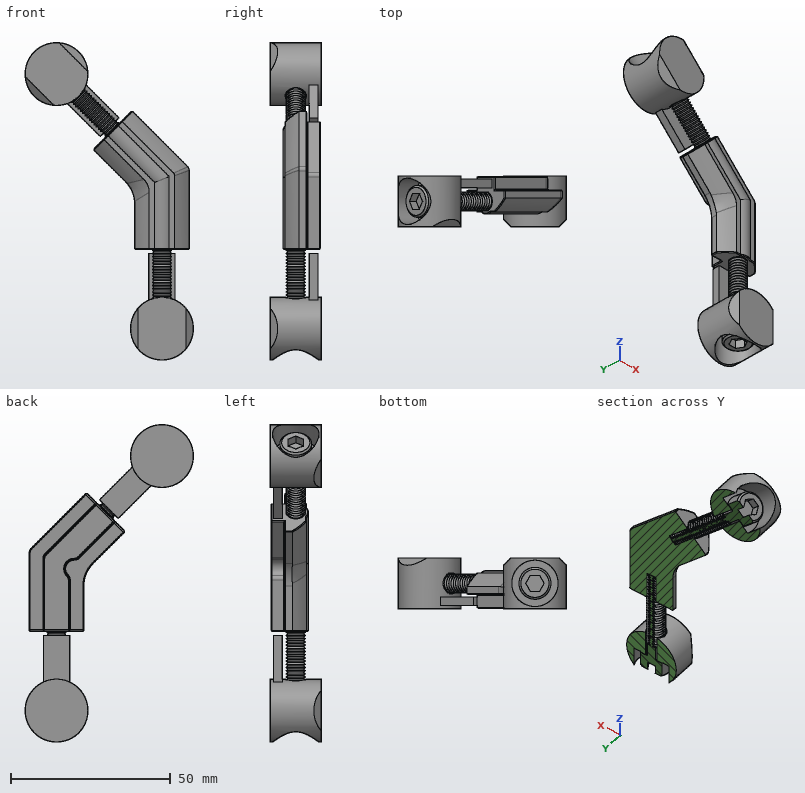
import cadquery as cq
import math

bend_angle = 45.0
arm_angles = (0.0, 180.0 - bend_angle)
barrel_distance = 46.65

arm_length = 21.85
flange_half_width = 8.55
flange_back = 3.5
flange_front = 1.0
front_face = -3.3
front_half_width = 4.0
key_half_width = 4.0
key_back = 7.8
ridge_radius = 4.0
inner_bend_radius = 10.0
outer_bend_radius = 2.0
slope_radius = 20.0
relief_radius = 3.0
relief_side = 5.54
relief_edge_radius = 2.0
edge_break = 0.3
level_tolerance = 0.01

thread_diameter = 6.0
thread_root_diameter = 5.0
thread_pitch = 1.0
screw_length = 35.0
plain_length = 5.0
head_diameter = 10.0
head_height = 6.0
head_edge_break = 0.6
socket_across_flats = 5.0
socket_depth = 3.0

barrel_diameter = 19.7
barrel_length = 16.0
counterbore_diameter = 14.5
clearance_diameter = 6.6
flat_half_width = 7.5
tab_back = 7.0
tab_front = 4.2
tab_half_width = 4.15
tab_gap = 1.3


def make_elbow():
    """Elbow swept along both arms: a flange with sloped sides, a key behind it, a ridge in front."""
    half_bend = math.radians(bend_angle / 2)
    upper_end = (
        -arm_length * math.sin(math.radians(bend_angle)),
        arm_length * math.cos(math.radians(bend_angle)),
    )
    path = cq.Workplane("XZ").moveTo(0, -arm_length).lineTo(0, 0).lineTo(*upper_end)

    ridge_half_width = math.sqrt(ridge_radius**2 - front_face**2)
    section = (
        cq.Workplane("XY", origin=(0, 0, -arm_length))
        .moveTo(-ridge_half_width, front_face)
        .threePointArc((0, -ridge_radius), (ridge_half_width, front_face))
        .lineTo(front_half_width, front_face)
        .radiusArc((flange_half_width, flange_front), -slope_radius)
        .lineTo(flange_half_width, flange_back)
        .lineTo(key_half_width, flange_back)
        .lineTo(key_half_width, key_back)
        .lineTo(-key_half_width, key_back)
        .lineTo(-key_half_width, flange_back)
        .lineTo(-flange_half_width, flange_back)
        .lineTo(-flange_half_width, flange_front)
        .radiusArc((-front_half_width, front_face), -slope_radius)
        .close()
    )
    elbow = section.sweep(path, transition="right")

    relief = (
        cq.Workplane("XZ", origin=(0, flange_back, 0))
        .center(-relief_side, -relief_side * math.tan(half_bend))
        .circle(relief_radius)
        .extrude(flange_back - key_back)
    )
    elbow = elbow.cut(relief)

    def bend_edge(side, depth):
        """Edge in the mitre plane of the bend, at the given side and depth."""
        return cq.selectors.NearestToPointSelector((side, depth, side * math.tan(half_bend)))

    key_depth = (flange_back + key_back) / 2
    relief_edges = cq.selectors.BoxSelector(
        (-relief_side - relief_radius, key_depth - edge_break, -relief_side - relief_radius),
        (0, key_depth + edge_break, relief_radius),
    )
    elbow = elbow.edges(relief_edges).fillet(relief_edge_radius)
    elbow = elbow.edges(bend_edge(key_half_width, key_depth)).fillet(outer_bend_radius)

    slope_side = (front_half_width + flange_half_width) / 2
    slope_depth = (front_face + flange_front) / 2
    flange_depth = (flange_front + flange_back) / 2
    for sign, radius in ((-1, inner_bend_radius), (1, outer_bend_radius)):
        flange_edge = bend_edge(sign * flange_half_width, flange_depth)
        slope_edge = bend_edge(sign * slope_side, slope_depth)
        elbow = elbow.edges(flange_edge).fillet(radius)
        elbow = elbow.edges(slope_edge).fillet(radius)

    for angle in arm_angles:
        outward = cq.Vector(-math.sin(math.radians(angle)), 0, -math.cos(math.radians(angle)))
        end_face = elbow.faces(cq.selectors.DirectionMinMaxSelector(outward))
        elbow = end_face.edges().chamfer(edge_break)
    reach = 2 * arm_length
    for depth in (flange_back, key_back):
        level_edges = cq.selectors.BoxSelector(
            (-reach, depth - level_tolerance, -reach),
            (reach, depth + level_tolerance, reach),
        )
        elbow = elbow.edges(level_edges).chamfer(edge_break)

    for angle in arm_angles:
        elbow = elbow.cut(place_on_arm(screw_hole(), angle))
    return elbow


def place_on_arm(body, angle):
    """Turn a body built on the lower, vertical arm onto the arm at the given angle."""
    return body.rotate((0, 0, 0), (0, 1, 0), angle)


def barrel_plane():
    """Plane through the barrel axis, facing the bend along the screw axis."""
    return cq.Workplane("XY", origin=(0, 0, -barrel_distance))


def screw_hole():
    """Bore that the screw thread fills, ending at the screw tip."""
    return barrel_plane().circle(thread_diameter / 2).extrude(screw_length)


def make_screw():
    """Socket head screw seated on the plane through the barrel axis."""
    head = (
        barrel_plane()
        .circle(head_diameter / 2)
        .extrude(-head_height)
        .faces("<Z")
        .edges()
        .chamfer(head_edge_break)
    )
    socket = (
        barrel_plane()
        .workplane(offset=-head_height)
        .polygon(6, socket_across_flats / math.cos(math.pi / 6))
        .extrude(socket_depth)
    )

    crest = thread_diameter / 2
    root = thread_root_diameter / 2
    profile = cq.Workplane("XZ", origin=(0, 0, -barrel_distance)).moveTo(0, 0).lineTo(crest, 0)
    profile = profile.lineTo(crest, plain_length).lineTo(root, plain_length)
    for ridge in range(int((screw_length - plain_length) / thread_pitch)):
        start = plain_length + ridge * thread_pitch
        profile = profile.lineTo(crest, start + thread_pitch / 2).lineTo(root, start + thread_pitch)
    shank = profile.lineTo(0, screw_length).close().revolve(360, (0, 0, 0), (0, 1, 0))
    return head.cut(socket).union(shank)


def make_barrel():
    """Cross barrel with a counterbored screw hole and a guide tab beside the screw."""
    radius = barrel_diameter / 2
    barrel = (
        cq.Workplane("XZ", origin=(0, -barrel_length / 2, -barrel_distance))
        .circle(radius)
        .extrude(-barrel_length)
    )

    tab_length = barrel_distance - arm_length - tab_gap
    tab = (
        barrel_plane()
        .center(0, (tab_back + tab_front) / 2)
        .rect(2 * tab_half_width, tab_back - tab_front)
        .extrude(tab_length)
    )
    barrel = barrel.union(tab)

    flat_depth = radius - flat_half_width
    front = -barrel_length / 2
    for side in (-1, 1):
        wedge = (
            cq.Workplane("XY", origin=(0, 0, -barrel_distance - radius))
            .moveTo(side * flat_half_width, front)
            .lineTo(side * radius, front + flat_depth)
            .lineTo(side * radius, front)
            .close()
            .extrude(barrel_diameter)
        )
        barrel = barrel.cut(wedge)

    counterbore = barrel_plane().circle(counterbore_diameter / 2).extrude(-radius)
    clearance = barrel_plane().circle(clearance_diameter / 2).extrude(radius)
    return barrel.cut(counterbore).cut(clearance)


elbow = make_elbow()
screws = [place_on_arm(make_screw(), angle) for angle in arm_angles]
barrels = [place_on_arm(make_barrel(), angle) for angle in arm_angles]

result = cq.Compound.makeCompound([body.val() for body in [elbow, *screws, *barrels]])